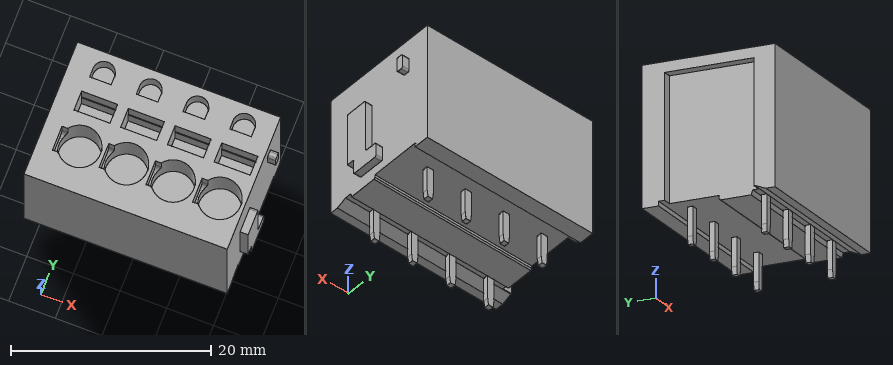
import cadquery as cq


total_length = 22.65
housing_length = 21.8
housing_depth = 14.8
housing_height = 15.25

pole_count = 4
pole_pitch = 5.0
first_pole_x = 3.2

standoff = 0.5
ramp_foot_y = 1.02
ramp_top_y = 2.26
pad_front_y = 3.01
pad_front_slope = 0.18
pad_rear_y = 6.77
pad_rear_chamfer = 0.15
rear_foot_y = 12.93

recess_depth = 1.1
recess_front_y = 2.35
recess_rear_y = 12.28
recess_top_z = 14.07

shallow_depth = 2.0
deep_depth = 2 * shallow_depth
wire_hole_diameter = 4.45
wire_hole_offset = 0.97
wire_hole_y = 4.69
key_slot_offset = -1.43
key_slot_width = 2.65
key_slot_floor_radius = 0.68
window_offset = 1.0
window_length = 3.85
window_front_y = 8.05
window_rear_y = 10.15
window_ledge = 0.1
test_hole_offset = 0.43
test_hole_radius = 1.15
test_hole_front_y = 11.82
test_hole_arc_y = 12.75

key_round = 0.23
small_key_front_y = 11.12
small_key_width = 0.88
small_key_bottom_z = 10.87
small_key_height = 1.85
large_key_front_y = 3.55
large_key_shoulder_y = 6.35
large_key_top_z = 10.33
large_key_shoulder_z = 3.55
foot_front_y = 4.46
foot_rear_y = 7.95
foot_bottom_z = 1.68

pin_width = 0.82
pin_thickness = 0.61
pin_tip_width = 0.61
pin_tip_length = 0.84
pin_reach = 3.47
pin_row_ys = (2.58, 10.78)

key_length = total_length - housing_length
pole_xs = [first_pole_x + i * pole_pitch for i in range(pole_count)]


def block(x_range, y_range, z_range):
    """Box between the given limits along each axis."""
    x_min, x_max = x_range
    y_min, y_max = y_range
    z_min, z_max = z_range
    return (
        cq.Workplane("XY", origin=(x_min, y_min, z_min))
        .box(x_max - x_min, y_max - y_min, z_max - z_min, centered=False)
    )


def housing_blank():
    """Side profile with the relieved underside, extruded along the poles."""
    return (
        cq.Workplane("YZ")
        .polyline([
            (0, 0),
            (ramp_foot_y, 0),
            (ramp_top_y, standoff),
            (pad_front_y, standoff),
            (pad_front_y + pad_front_slope, 0),
            (pad_rear_y - pad_rear_chamfer, 0),
            (pad_rear_y, pad_rear_chamfer),
            (pad_rear_y, standoff),
            (rear_foot_y, standoff),
            (rear_foot_y, 0),
            (housing_depth, 0),
            (housing_depth, housing_height),
            (0, housing_height),
        ])
        .close()
        .extrude(housing_length)
    )


def end_recess():
    return block((0, recess_depth), (recess_front_y, recess_rear_y), (0, recess_top_z))


def wire_opening(pole_x):
    """Round wire funnel with a trough-shaped key slot on its left side."""
    hole_x = pole_x + wire_hole_offset
    hole = (
        cq.Workplane("XY", origin=(hole_x, wire_hole_y, housing_height))
        .circle(wire_hole_diameter / 2)
        .extrude(-deep_depth)
    )
    slot = block(
        (pole_x + key_slot_offset, hole_x),
        (wire_hole_y - key_slot_width / 2, wire_hole_y + key_slot_width / 2),
        (housing_height - shallow_depth, housing_height),
    )
    slot = slot.edges("|X and <Z").fillet(key_slot_floor_radius)
    return hole.union(slot)


def window(pole_x):
    """Rectangular pocket that narrows at a small ledge on its rear wall."""
    x_range = (
        pole_x + window_offset - window_length / 2,
        pole_x + window_offset + window_length / 2,
    )
    ledge_z = housing_height - shallow_depth
    mouth = block(x_range, (window_front_y, window_rear_y), (ledge_z, housing_height))
    shaft = block(
        x_range,
        (window_front_y, window_rear_y - window_ledge),
        (housing_height - deep_depth, housing_height),
    )
    return mouth.union(shaft)


def test_hole(pole_x):
    """Blind hole with a flat front and a semicircular rear."""
    arc_rise = test_hole_arc_y - test_hole_front_y
    return (
        cq.Workplane("XY", origin=(pole_x + test_hole_offset, test_hole_front_y, housing_height))
        .moveTo(-test_hole_radius, 0)
        .lineTo(test_hole_radius, 0)
        .lineTo(test_hole_radius, arc_rise)
        .threePointArc((0, arc_rise + test_hole_radius), (-test_hole_radius, arc_rise))
        .close()
        .extrude(-shallow_depth)
    )


def small_key():
    """Upper raised key: a short bar with rounded long edges."""
    return block(
        (housing_length, total_length),
        (small_key_front_y, small_key_front_y + small_key_width),
        (small_key_bottom_z, small_key_bottom_z + small_key_height),
    ).edges("|X").fillet(key_round)


def large_key():
    """Lower raised key: an upright bar on a foot that is set back, with rounded rear edges and foot."""
    key = (
        cq.Workplane("YZ", origin=(housing_length, 0, 0))
        .moveTo(large_key_front_y, large_key_shoulder_z)
        .lineTo(foot_front_y, large_key_shoulder_z)
        .lineTo(foot_front_y, foot_bottom_z)
        .lineTo(foot_rear_y, foot_bottom_z)
        .lineTo(foot_rear_y, large_key_shoulder_z)
        .lineTo(large_key_shoulder_y, large_key_shoulder_z)
        .lineTo(large_key_shoulder_y, large_key_top_z)
        .lineTo(large_key_front_y, large_key_top_z)
        .close()
        .extrude(key_length)
    )
    rear_edges = cq.selectors.BoxSelector(
        (housing_length, large_key_shoulder_y - key_round, large_key_shoulder_z - key_round),
        (total_length, foot_rear_y + key_round, large_key_top_z + key_round),
    )
    key = key.edges("|X").edges(rear_edges).fillet(key_round)
    return key.edges("|X and <Z").fillet(key_round)


def make_housing():
    body = housing_blank().cut(end_recess())
    for pole_x in pole_xs:
        body = body.cut(wire_opening(pole_x))
        body = body.cut(window(pole_x))
        body = body.cut(test_hole(pole_x))
    return body.union(small_key()).union(large_key())


def make_pin(x, y):
    """Flat solder pin with a tapered tip, butting against the raised underside."""
    half_width = pin_width / 2
    half_tip = pin_tip_width / 2
    taper_z = pin_tip_length - pin_reach
    return (
        cq.Workplane("XZ", origin=(x, y, 0))
        .polyline([
            (-half_width, standoff),
            (half_width, standoff),
            (half_width, taper_z),
            (half_tip, -pin_reach),
            (-half_tip, -pin_reach),
            (-half_width, taper_z),
        ])
        .close()
        .extrude(pin_thickness / 2, both=True)
    )


housing = make_housing()
pins = [make_pin(x, y) for y in pin_row_ys for x in pole_xs]

result = cq.Compound.makeCompound([housing.val(), *[pin.val() for pin in pins]])